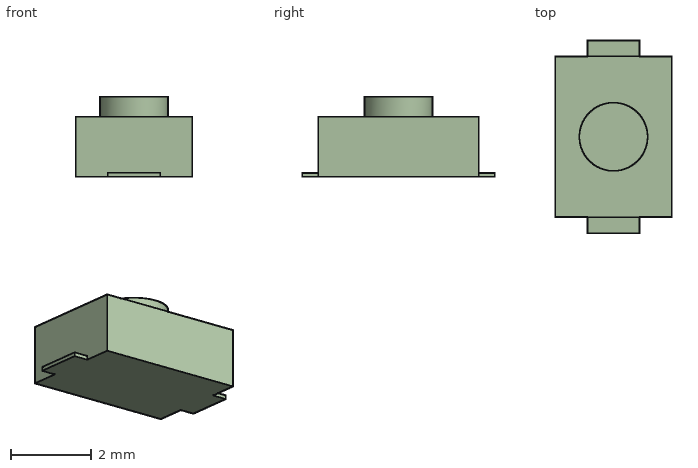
import cadquery as cq

overall_length = 4.8
overall_height = 2.0
body_width = 2.9
body_length = 4.0
body_height = 1.5
button_diameter = 1.7
lead_width = 1.3
lead_thickness = 0.1

button_height = overall_height - body_height


def make_body():
    """Rectangular housing standing on the base plane."""
    return cq.Workplane("XY").box(body_width, body_length, body_height, centered=(True, True, False))


def make_button():
    """Round button centred on top of the housing."""
    top_plane = cq.Workplane("XY").workplane(offset=body_height)
    return top_plane.circle(button_diameter / 2).extrude(button_height)


def make_leads():
    """Flat strip through the base of the housing whose ends form the two leads."""
    return cq.Workplane("XY").box(lead_width, overall_length, lead_thickness, centered=(True, True, False))


result = make_body().union(make_button()).union(make_leads())